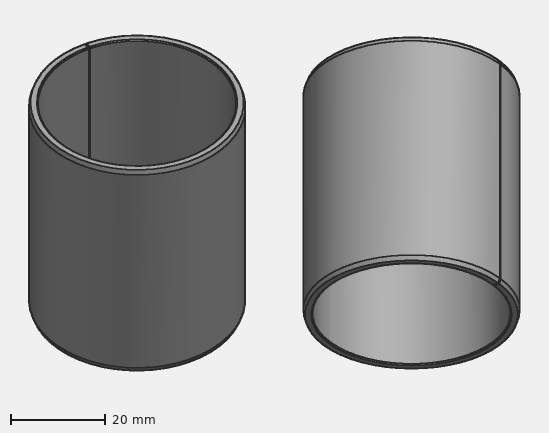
import cadquery as cq

length = 55.0
outer_diameter = 46.0
wall = 2.0
outer_chamfer_height = 1.1
outer_chamfer_depth = 0.4
inner_chamfer = 0.3
seam_width = 0.4

outer_radius = outer_diameter / 2
inner_radius = outer_radius - wall
half_length = length / 2


def wall_section():
    """Radial section of the wall, with chamfers at both ends."""
    outer_end = outer_radius - outer_chamfer_depth
    inner_end = inner_radius + inner_chamfer
    outer_edge = half_length - outer_chamfer_height
    inner_edge = half_length - inner_chamfer
    return (
        cq.Workplane("XZ")
        .moveTo(inner_radius, -inner_edge)
        .lineTo(inner_end, -half_length)
        .lineTo(outer_end, -half_length)
        .lineTo(outer_radius, -outer_edge)
        .lineTo(outer_radius, outer_edge)
        .lineTo(outer_end, half_length)
        .lineTo(inner_end, half_length)
        .lineTo(inner_radius, inner_edge)
        .close()
    )


def seam_cutter():
    """Thin slab through the wall on the -X side, with one face on the XZ plane."""
    reach = outer_radius + wall
    slab = cq.Workplane("XY").box(reach, seam_width, length + wall)
    return slab.translate((-reach / 2, seam_width / 2, 0))


tube = wall_section().revolve(360, (0, 0, 0), (0, 1, 0))
result = tube.cut(seam_cutter())